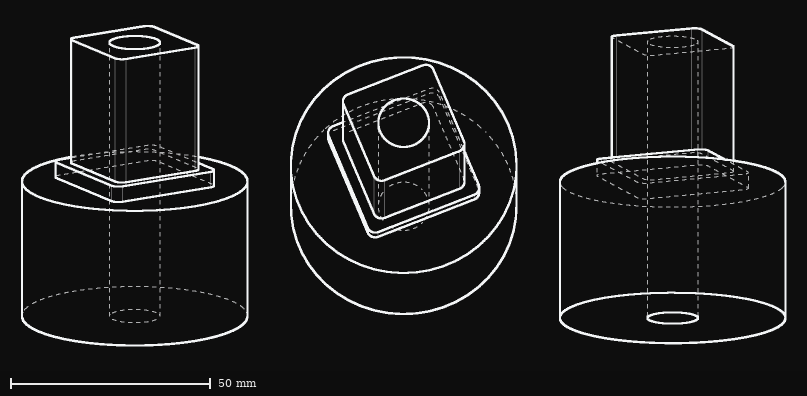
import cadquery as cq

base_diameter = 56.6
base_height = 35.0
collar_width = 30.0
collar_height = 4.0
post_width = 24.3
post_height = 32.0
corner_radius = 2.0
bore_diameter = 12.7

collar_bottom = base_height
post_bottom = collar_bottom + collar_height
total_height = post_bottom + post_height


def round_block(diameter, height):
    """Cylinder standing on Z = 0, centred on the Z axis."""
    return cq.Workplane("XY").circle(diameter / 2).extrude(height)


def square_block(width, height, bottom):
    """Square block with rounded vertical edges, centred on the Z axis."""
    block = cq.Workplane("XY").workplane(offset=bottom).rect(width, width).extrude(height)
    return block.edges("|Z").fillet(corner_radius)


base = round_block(base_diameter, base_height)
collar = square_block(collar_width, collar_height, collar_bottom)
post = square_block(post_width, post_height, post_bottom)

bore = round_block(bore_diameter, total_height)

result = base.union(collar).union(post).cut(bore)